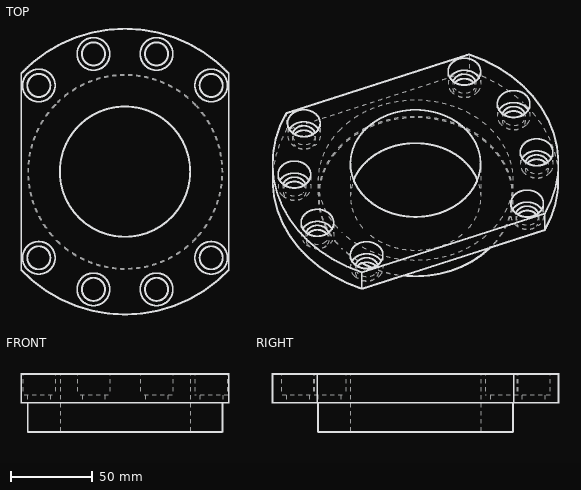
import cadquery as cq

flange_diameter = 176.0
flange_width = 128.0
flange_thickness = 18.0

total_height = 36.0
spigot_diameter = 120.0
spigot_chamfer = 0.5
bore_diameter = 80.0

bolt_circle_radius = 75.0
bolt_angles = [45, 75, 105, 135, 225, 255, 285, 315]
bolt_hole_diameter = 14.0
counterbore_diameter = 20.0
counterbore_depth = 13.0


def make_flange():
    """Disc cut to the flange width, with its top at the total height."""
    disc = cq.Workplane("XY").circle(flange_diameter / 2).extrude(flange_thickness)
    flats = cq.Workplane("XY").rect(flange_width, flange_diameter).extrude(flange_thickness)
    return disc.intersect(flats).translate((0, 0, total_height - flange_thickness))


def make_spigot():
    """Round spigot with a small chamfer on its lower edge."""
    spigot = cq.Workplane("XY").circle(spigot_diameter / 2).extrude(total_height - flange_thickness)
    return spigot.faces("<Z").edges().chamfer(spigot_chamfer)


def cut_bolt_holes(body):
    """Cut the counterbored holes from the top of the flange."""
    top = cq.Workplane("XY").workplane(offset=total_height)
    for angle in bolt_angles:
        spot = top.polarArray(bolt_circle_radius, angle, 360, 1)
        body = body.cut(spot.circle(bolt_hole_diameter / 2).extrude(-flange_thickness))
        body = body.cut(spot.circle(counterbore_diameter / 2).extrude(-counterbore_depth))
    return body


flanged_body = make_flange().union(make_spigot())
bored_body = flanged_body.cut(cq.Workplane("XY").circle(bore_diameter / 2).extrude(total_height))
result = cut_bolt_holes(bored_body)